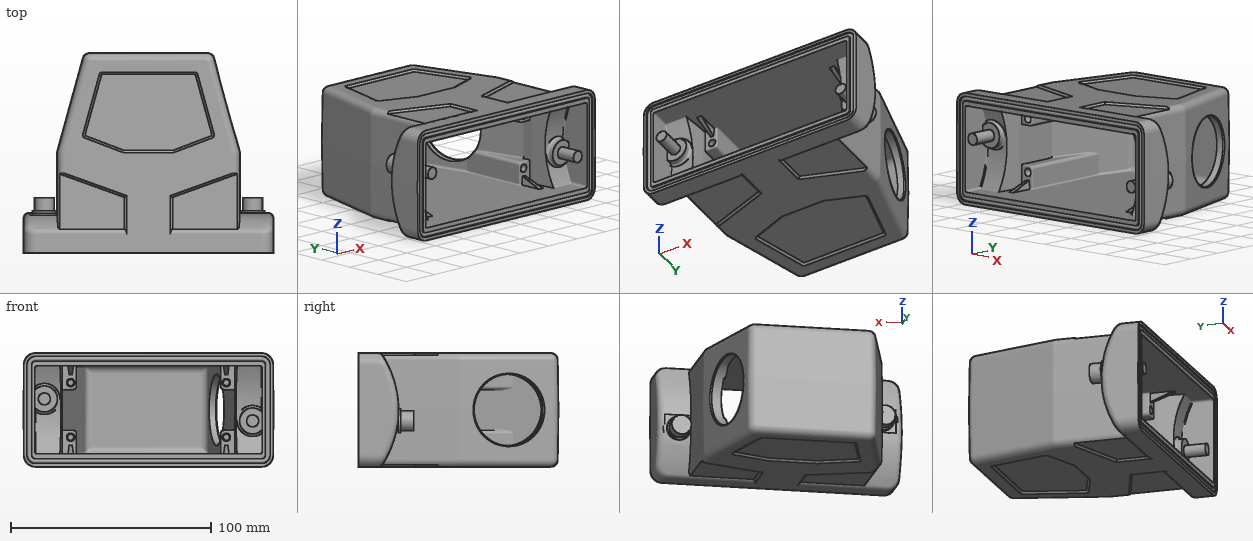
import cadquery as cq
import math


WIDTH = 57.0
HALF_WIDTH = WIDTH / 2
HEIGHT = 100.0
BODY_HALF_LENGTH = 45.8
BACK_HALF_LENGTH = 32.1
SHOULDER_Y = 50.4
BODY_FILLET = 3.8
BODY_DRAFT = 0.8
SLANT = (BODY_HALF_LENGTH - BACK_HALF_LENGTH) / (HEIGHT - SHOULDER_Y)

COLLAR_LENGTH = 125.0
COLLAR_CORNER = 6.0
COLLAR_FILLET = 3.0
COLLAR_DRAFT = 0.4
SADDLE_CREST_Y = 20.1
SADDLE_RADIUS = 50.0
SADDLE_THICKNESS = 3.4
SADDLE_AXIS_Y = SADDLE_CREST_Y - SADDLE_RADIUS

CAVITY_HALF_LENGTH = 56.8
CAVITY_HALF_WIDTH = 22.0
CAVITY_CORNER = 1.2
CAVITY_ROOF_FILLET = 0.5
INNER_MOUTH_HALF_LENGTH = 44.2
INNER_MOUTH_Y = 11.2
INNER_HALF_LENGTH = 43.0
INNER_STEP_Y = 25.0
INNER_SHOULDER_LEFT_Y = 50.0
INNER_SHOULDER_RIGHT_Y = 31.2
INNER_BACK_Y = 96.9
INNER_BACK_LEFT = -31.0
INNER_BACK_RIGHT = 29.1
INNER_SIDE_FILLET = 1.2
INNER_BACK_FILLET = 3.8

CABLE_HOLE_DIAMETER = 35.6
CABLE_HOLE_Y = (SHOULDER_Y + HEIGHT) / 2
CABLE_HOLE_LENGTH = 12.5
CABLE_HOLE_CHAMFER = 0.8

PANEL_DEPTH = 1.1
PANEL_TAPER = 45.0
PANEL_CORNER = 1.8
LABEL_TOP_Y = 90.4
LABEL_TOP_HALF = 24.2
LABEL_BOTTOM_Y = 50.1
LABEL_BOTTOM_HALF = 12.4
LABEL_SIDE_Y = 58.0
GRIP_INNER_X = 10.9
GRIP_INNER_Y = 28.6
GRIP_SLOPE = 0.36

GROOVE_INSET = 1.8
GROOVE_WIDTH = 2.4
GROOVE_DEPTH = 2.5
GROOVE_CORNER = 4.2

POST_FACE_Y = 27.0
POST_INNER_X = 36.0
POST_INNER_Z = 10.1
POST_CORNER = 1.8
POST_EDGE_FILLET = 0.6
POST_ROOT_FILLET = 0.8
POST_HOLE_X = 38.9
POST_HOLE_Z = 13.6
POST_HOLE_DIAMETER = 4.0
POST_HOLE_DEPTH = 12.5
POST_HOLE_TAPER = 2.0
GUSSET_FOOT_WIDTH = 2.8
GUSSET_TAPER = 8.0
GUSSET_TOP_Z = 17.6
GUSSET_FOOT_Y = 14.6

PIN_X = 52.0
PIN_Z = 5.5
PIN_DIAMETER = 6.0
PIN_TIPS = [0.1, 1.9]
HEAD_DIAMETER = 10.0
HEAD_TOP_Y = 27.6
FLANGE_DIAMETER = 12.0
FLANGE_BOTTOM_Y = 20.0
FLANGE_THICKNESS = 1.2
WASHER_THICKNESS = 1.1
SEAT_SIZE = 14.0
LEFT_PIN = (-PIN_X, PIN_Z)
RIGHT_PIN = (PIN_X, -PIN_Z)
PIN_PLACES = [LEFT_PIN, RIGHT_PIN]
BOSS_FACE_Y = 13.1
BOSS_DIAMETER = 13.0
BOSS_FILLET = 1.2


def disc_y(x, z, diameter, start_y, end_y):
    """Cylinder along Y between two heights."""
    return (
        cq.Workplane("XZ", origin=(x, start_y, z))
        .circle(diameter / 2)
        .extrude(start_y - end_y)
    )


def rounded_block(length, width, corner, depth):
    """Block with rounded corners that rises along +Y from the rim plane."""
    return cq.Workplane("XZ").rect(length, width).extrude(-depth).edges("|Y").fillet(corner)


def saddle_roof(radius):
    """Everything below a cylindrical roof that runs along X."""
    return (
        cq.Workplane("YZ", origin=(-COLLAR_LENGTH, SADDLE_AXIS_Y, 0))
        .circle(radius)
        .extrude(2 * COLLAR_LENGTH)
    )


def both_faces(tool):
    """A tool for the +Z face together with its mirror image on the -Z face."""
    return tool.union(tool.mirror("XY"))


def body_block():
    outline = [
        (-BODY_HALF_LENGTH, 0),
        (BODY_HALF_LENGTH, 0),
        (BODY_HALF_LENGTH, SHOULDER_Y),
        (BACK_HALF_LENGTH, HEIGHT),
        (-BACK_HALF_LENGTH, HEIGHT),
        (-BODY_HALF_LENGTH, SHOULDER_Y),
    ]
    half = cq.Workplane("XY").polyline(outline).close().extrude(HALF_WIDTH, taper=BODY_DRAFT)
    margin = 1.2
    upright_edges = cq.selectors.BoxSelector(
        (-COLLAR_LENGTH, SHOULDER_Y - margin, margin),
        (COLLAR_LENGTH, HEIGHT + margin, HALF_WIDTH - margin),
    )
    half = half.edges(upright_edges).fillet(BODY_FILLET)
    half = half.faces(">Z").edges("not(<Y)").fillet(BODY_FILLET)
    return both_faces(half)


def panel(outline, corner):
    """Sunk panel with sloping walls, outlined on the broad faces."""
    sketch = cq.Sketch().polygon(outline + outline[:1])
    if corner:
        sketch = sketch.vertices().fillet(corner)
    tool = (
        cq.Workplane("XY", origin=(0, 0, HALF_WIDTH))
        .placeSketch(sketch)
        .extrude(-PANEL_DEPTH, taper=PANEL_TAPER)
    )
    return both_faces(tool)


def label_panel():
    right_side = [
        (LABEL_TOP_HALF, LABEL_TOP_Y),
        (LABEL_TOP_HALF + SLANT * (LABEL_TOP_Y - LABEL_SIDE_Y), LABEL_SIDE_Y),
        (LABEL_BOTTOM_HALF, LABEL_BOTTOM_Y),
    ]
    left_side = [(-x, y) for x, y in reversed(right_side)]
    return panel(right_side + left_side, PANEL_CORNER)


def grip_panel(side):
    """Panel beside the collar that runs out through the end wall; side is -1 or +1."""
    past_wall = 6.2
    outer_x = BODY_HALF_LENGTH + past_wall
    outer_y = GRIP_INNER_Y + GRIP_SLOPE * (outer_x - GRIP_INNER_X)
    below_rim = -past_wall
    outline = [
        (side * GRIP_INNER_X, below_rim),
        (side * GRIP_INNER_X, GRIP_INNER_Y),
        (side * outer_x, outer_y),
        (side * outer_x, below_rim),
    ]
    return panel(outline, 0)


def collar():
    plan = cq.Workplane("XY").rect(COLLAR_LENGTH, 2 * (SADDLE_CREST_Y + 6.2))
    half = plan.extrude(HALF_WIDTH, taper=COLLAR_DRAFT)
    half = half.faces(">Z").edges("<X or >X").fillet(COLLAR_CORNER)
    above_rim = cq.Workplane("XZ").rect(2 * COLLAR_LENGTH, 2 * WIDTH).extrude(-HEIGHT)
    half = half.intersect(above_rim).intersect(saddle_roof(SADDLE_RADIUS))
    roof_rim = cq.selectors.BoxSelector(
        (-COLLAR_LENGTH, SADDLE_CREST_Y / 2, 1.2), (COLLAR_LENGTH, SADDLE_CREST_Y, WIDTH)
    )
    half = half.edges(roof_rim).fillet(COLLAR_FILLET)
    return both_faces(half)


def collar_cavity():
    """Cavity with sharp edges where its end walls meet the saddle."""
    block = rounded_block(
        2 * CAVITY_HALF_LENGTH, 2 * CAVITY_HALF_WIDTH, CAVITY_CORNER, SADDLE_CREST_Y
    )
    return block.intersect(saddle_roof(SADDLE_RADIUS - SADDLE_THICKNESS))


def smooth_collar_cavity():
    end_arcs = collar_cavity().edges("%CIRCLE").edges("<X or >X")
    return end_arcs.fillet(CAVITY_ROOF_FILLET)


def body_cavity():
    outline = [
        (-INNER_MOUTH_HALF_LENGTH, 0),
        (INNER_MOUTH_HALF_LENGTH, 0),
        (INNER_MOUTH_HALF_LENGTH, INNER_MOUTH_Y),
        (INNER_HALF_LENGTH, INNER_STEP_Y),
        (INNER_HALF_LENGTH, INNER_SHOULDER_RIGHT_Y),
        (INNER_BACK_RIGHT, INNER_BACK_Y),
        (INNER_BACK_LEFT, INNER_BACK_Y),
        (-INNER_HALF_LENGTH, INNER_SHOULDER_LEFT_Y),
        (-INNER_HALF_LENGTH, INNER_STEP_Y),
        (-INNER_MOUTH_HALF_LENGTH, INNER_MOUTH_Y),
    ]
    block = cq.Workplane("XY").polyline(outline).close().extrude(CAVITY_HALF_WIDTH, both=True)
    block = block.faces(">Y").edges().fillet(INNER_BACK_FILLET)
    slanted_edges = cq.selectors.BoxSelector(
        (-COLLAR_LENGTH, INNER_SHOULDER_LEFT_Y, -WIDTH),
        (COLLAR_LENGTH, INNER_BACK_Y - INNER_BACK_FILLET, WIDTH),
    )
    return block.faces(">Z or <Z").edges(slanted_edges).fillet(INNER_SIDE_FILLET)


def cable_hole():
    """Hole square to the slanted wall, chamfered on the outside."""
    radius = CABLE_HOLE_DIAMETER / 2
    outward = cq.Vector(1, SLANT, 0).normalized()
    mouth = cq.Vector(BODY_HALF_LENGTH - SLANT * (CABLE_HOLE_Y - SHOULDER_Y), CABLE_HOLE_Y, 0)
    bore = cq.Solid.makeCylinder(
        radius, 2 * CABLE_HOLE_LENGTH, mouth - outward * CABLE_HOLE_LENGTH, outward
    )
    chamfer = cq.Solid.makeCone(
        radius,
        radius + 2 * CABLE_HOLE_CHAMFER,
        2 * CABLE_HOLE_CHAMFER,
        mouth - outward * CABLE_HOLE_CHAMFER,
        outward,
    )
    return cq.Workplane(bore).union(cq.Workplane(chamfer))


def corner_post():
    """Drilled post with its gusset, for the corner at +X and +Z."""
    into_wall = 0.6
    length = INNER_MOUTH_HALF_LENGTH - POST_INNER_X + into_wall
    width = CAVITY_HALF_WIDTH - POST_INNER_Z + into_wall
    post = (
        cq.Workplane("XZ", origin=(POST_INNER_X, POST_FACE_Y, POST_INNER_Z))
        .rect(length, width, centered=False)
        .extrude(POST_FACE_Y - INNER_BACK_Y)
        .edges("|Y and <X and <Z")
        .fillet(POST_CORNER)
    )
    post = post.faces("<Y").edges("<X").fillet(POST_EDGE_FILLET)
    drill = (
        cq.Workplane("XZ", origin=(POST_HOLE_X, POST_FACE_Y, POST_HOLE_Z))
        .circle(POST_HOLE_DIAMETER / 2)
        .extrude(-POST_HOLE_DEPTH, taper=POST_HOLE_TAPER)
    )
    gusset_slope = (
        cq.Workplane("YZ", origin=(POST_INNER_X, 0, 0))
        .polyline([
            (POST_FACE_Y, GUSSET_TOP_Z),
            (GUSSET_FOOT_Y, CAVITY_HALF_WIDTH),
            (POST_FACE_Y, CAVITY_HALF_WIDTH),
        ])
        .close()
        .extrude(length)
    )
    gusset = (
        cq.Workplane("XY", origin=(POST_HOLE_X, POST_FACE_Y, CAVITY_HALF_WIDTH))
        .rect(GUSSET_FOOT_WIDTH, 2 * POST_FACE_Y)
        .extrude(GUSSET_TOP_Z - CAVITY_HALF_WIDTH, taper=GUSSET_TAPER)
        .intersect(gusset_slope)
    )
    return post.cut(drill).union(gusset)


def pin_boss(x, z):
    """Flat-faced boss that flares into the saddle, with the saddle just around it."""
    solid = collar()
    cylinder = disc_y(x, z, BOSS_DIAMETER, BOSS_FACE_Y, SADDLE_CREST_Y - SADDLE_THICKNESS / 2)
    ring = solid.cut(collar_cavity()).union(cylinder.intersect(solid))
    margin = 0.2
    reach = BOSS_DIAMETER / 2 + margin
    root = cq.selectors.BoxSelector(
        (x - math.copysign(reach, x), BOSS_FACE_Y + margin, z - reach),
        (x + math.copysign(CAVITY_HALF_LENGTH - PIN_X - margin, x), SADDLE_CREST_Y, z + reach),
    )
    ring = ring.edges("%BSPLINE").edges(root).fillet(BOSS_FILLET)
    flare_diameter = BOSS_DIAMETER + 2 * BOSS_FILLET
    return ring.intersect(disc_y(x, z, flare_diameter, BOSS_FACE_Y, SADDLE_CREST_Y))


def collar_ring():
    ring = collar().cut(smooth_collar_cavity())
    for x, z in PIN_PLACES:
        ring = ring.union(pin_boss(x, z))
    return ring


def pin_seat_y(x):
    """Only the pin at -X stands on a washer, so its seat is deeper."""
    return FLANGE_BOTTOM_Y - (WASHER_THICKNESS if x < 0 else 0)


def pin_seat(x, z):
    """Flat notch in the saddle under a pin flange, open towards the nearer broad face."""
    inner_z = z - math.copysign(SEAT_SIZE / 2, z)
    outer_z = math.copysign(HALF_WIDTH, z)
    seat_y = pin_seat_y(x)
    notch = (
        cq.Workplane("XZ", origin=(x, seat_y, (inner_z + outer_z) / 2))
        .rect(SEAT_SIZE, abs(outer_z - inner_z))
        .extrude(seat_y - HEAD_TOP_Y)
    )
    return notch.cut(body_block())


def groove_ring():
    outer_length = COLLAR_LENGTH - 2 * GROOVE_INSET
    outer_width = WIDTH - 2 * GROOVE_INSET
    outer = rounded_block(outer_length, outer_width, GROOVE_CORNER, GROOVE_DEPTH)
    inner = rounded_block(
        outer_length - 2 * GROOVE_WIDTH,
        outer_width - 2 * GROOVE_WIDTH,
        GROOVE_CORNER - GROOVE_WIDTH,
        GROOVE_DEPTH,
    )
    return outer.cut(inner)


def add_posts(shell, outside):
    """Join the four posts to the shell and round their roots on the broad walls."""
    post = corner_post().intersect(outside)
    for post_at_end in (post, post.mirror("YZ")):
        shell = shell.union(both_faces(post_at_end))
    near = 0.2
    for x in (-POST_INNER_X, POST_INNER_X):
        for z in (-CAVITY_HALF_WIDTH, CAVITY_HALF_WIDTH):
            root = cq.selectors.BoxSelector(
                (x - near, POST_FACE_Y, z - near), (x + near, INNER_BACK_Y, z + near)
            )
            shell = shell.edges(root).fillet(POST_ROOT_FILLET)
    return shell


def build_housing():
    body = body_block().cut(label_panel())
    for side in (-1, 1):
        body = body.cut(grip_panel(side))
    outside = body.union(collar())
    shell = body.cut(smooth_collar_cavity()).union(collar_ring()).cut(body_cavity())
    shell = add_posts(shell, outside).cut(cable_hole()).cut(groove_ring())
    for x, z in PIN_PLACES:
        pin_hole = disc_y(x, z, PIN_DIAMETER, 0, HEAD_TOP_Y)
        shell = shell.cut(pin_seat(x, z)).cut(pin_hole)
    return shell


def build_gasket():
    """Seal that fills the groove and has a half-round outer side."""
    radius = GROOVE_WIDTH / 2
    centre_inset = GROOVE_INSET + radius
    path = rounded_block(
        COLLAR_LENGTH - 2 * centre_inset,
        WIDTH - 2 * centre_inset,
        GROOVE_CORNER - radius,
        GROOVE_DEPTH,
    ).faces(">Y").wires()
    profile = (
        cq.Workplane("YZ", origin=(0, 0, HALF_WIDTH - centre_inset))
        .moveTo(GROOVE_DEPTH, -radius)
        .lineTo(radius, -radius)
        .threePointArc((0, 0), (radius, radius))
        .lineTo(GROOVE_DEPTH, radius)
        .close()
    )
    return profile.sweep(path)


def build_pin(x, z, tip_y):
    shank = disc_y(x, z, PIN_DIAMETER, tip_y, FLANGE_BOTTOM_Y)
    flange = disc_y(
        x, z, FLANGE_DIAMETER, FLANGE_BOTTOM_Y, FLANGE_BOTTOM_Y + FLANGE_THICKNESS
    )
    head = disc_y(x, z, HEAD_DIAMETER, FLANGE_BOTTOM_Y, HEAD_TOP_Y)
    return shank.union(flange).union(head)


def build_washer(x, z):
    seat_y = pin_seat_y(x)
    ring = disc_y(x, z, FLANGE_DIAMETER, seat_y, FLANGE_BOTTOM_Y)
    return ring.cut(disc_y(x, z, PIN_DIAMETER, seat_y, FLANGE_BOTTOM_Y))


housing = build_housing()
gasket = build_gasket()
pins = [build_pin(x, z, tip_y) for (x, z), tip_y in zip(PIN_PLACES, PIN_TIPS)]
washer = build_washer(*LEFT_PIN)

result = cq.Compound.makeCompound(
    [housing.val(), gasket.val(), *[pin.val() for pin in pins], washer.val()]
)